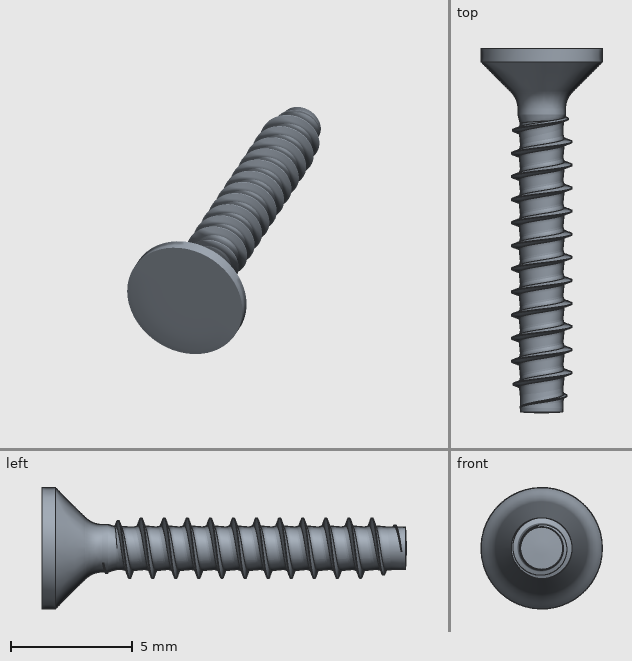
import cadquery as cq
import math


screw_length = 15.0
head_radius = 2.5
head_rim_depth = 0.55

neck_radius = 0.98
neck_fillet_radius = 1.0
countersink_angle = math.radians(45)
neck_end_depth = 2.72
core_start_depth = 3.08

core_radius = 0.88
tip_radius = 0.865
tip_taper_length = 0.15
tip_cone_height = 0.04

pitch = 0.95
crest_radius = 1.25
crest_half_width = 0.015
flank_angle = math.radians(19)
reference_depth = 4.08
thread_start_depth = 2.52
start_height_fraction = 0.36
full_height_start = 3.6
full_height_end = 13.6
thread_end_depth = 14.8

root_height = 0.045
head_side_root_width = 0.17
tip_side_root_width = 0.49
least_root_width = 0.02
root_sink = 0.003
buried_radius = 0.70
points_per_turn = 24


def make_body():
    """Head, neck, core and tip as one turned profile."""
    sine = math.sin(countersink_angle)
    cosine = math.cos(countersink_angle)
    fillet_start_radius = neck_radius + neck_fillet_radius * (1 - cosine)
    fillet_start_depth = head_rim_depth + (head_radius - fillet_start_radius) / math.tan(countersink_angle)
    fillet_end_depth = fillet_start_depth + neck_fillet_radius * sine
    half_angle = countersink_angle / 2
    fillet_middle_radius = neck_radius + neck_fillet_radius * (1 - math.cos(half_angle))
    fillet_middle_depth = fillet_end_depth - neck_fillet_radius * math.sin(half_angle)
    tip_edge_depth = screw_length - tip_cone_height
    profile = (
        cq.Workplane("XY")
        .lineTo(head_radius, 0)
        .lineTo(head_radius, -head_rim_depth)
        .lineTo(fillet_start_radius, -fillet_start_depth)
        .threePointArc((fillet_middle_radius, -fillet_middle_depth), (neck_radius, -fillet_end_depth))
        .lineTo(neck_radius, -neck_end_depth)
        .lineTo(core_radius, -core_start_depth)
        .lineTo(core_radius, -(tip_edge_depth - tip_taper_length))
        .lineTo(tip_radius, -tip_edge_depth)
        .lineTo(0, -screw_length)
        .close()
    )
    return profile.revolve(360, (0, 0, 0), (0, 1, 0))


def height_fraction(depth):
    """Thread height relative to full height: grows in at the neck, runs out at the tip."""
    growth = (depth - thread_start_depth) / (full_height_start - thread_start_depth)
    grown = start_height_fraction + (1 - start_height_fraction) * growth
    remaining = (thread_end_depth - depth) / (thread_end_depth - full_height_end)
    return min(1.0, grown, remaining)


def thread_section(depth):
    """Thread corners as (axial offset, radius), from the head side to the tip side."""
    fraction = height_fraction(depth)
    crest = core_radius + (crest_radius - core_radius) * fraction - root_sink * (1 - fraction)
    root = core_radius + root_height * fraction - root_sink * (1 - fraction)
    root_edge = core_radius - root_sink
    flank_half_width = crest_half_width + (crest - root) * math.tan(flank_angle)
    head_side = -flank_half_width - head_side_root_width
    tip_side = flank_half_width + max(tip_side_root_width * fraction, least_root_width)
    return [
        (head_side, buried_radius),
        (head_side, root_edge),
        (-flank_half_width, root),
        (-crest_half_width, crest),
        (crest_half_width, crest),
        (flank_half_width, root),
        (tip_side, root_edge),
        (tip_side, buried_radius),
    ]


def section_points(depth):
    """Thread corners in space at the helix angle for this depth (right-handed)."""
    angle = math.pi / 2 + 2 * math.pi * (depth - reference_depth) / pitch
    return [
        cq.Vector(radius * math.cos(angle), -(depth + offset), radius * math.sin(angle))
        for offset, radius in thread_section(depth)
    ]


def ruled_turn(sections):
    """Ruled faces between the spiralling corner edges that run through these sections."""
    edges = [cq.Edge.makeSpline(list(corner_path)) for corner_path in zip(*sections)]
    return [
        cq.Face.makeRuledSurface(edge, next_edge)
        for edge, next_edge in zip(edges, edges[1:] + edges[:1])
    ]


def end_face(section):
    """Flat face closing the thread at one end."""
    return cq.Face.makeFromWires(cq.Wire.makePolygon(section, close=True))


def make_thread():
    """Helical rib, built as a closed shell in stretches of about one turn each."""
    thread_length = thread_end_depth - thread_start_depth
    steps = math.ceil(thread_length / pitch * points_per_turn)
    sections = [section_points(thread_start_depth + thread_length * i / steps) for i in range(steps + 1)]
    faces = [end_face(sections[0]), end_face(sections[-1])]
    for first in range(0, steps, points_per_turn):
        faces += ruled_turn(sections[first:first + points_per_turn + 1])
    return cq.Solid.makeSolid(cq.Shell.makeShell(faces))


result = make_body().union(cq.Workplane(make_thread()))